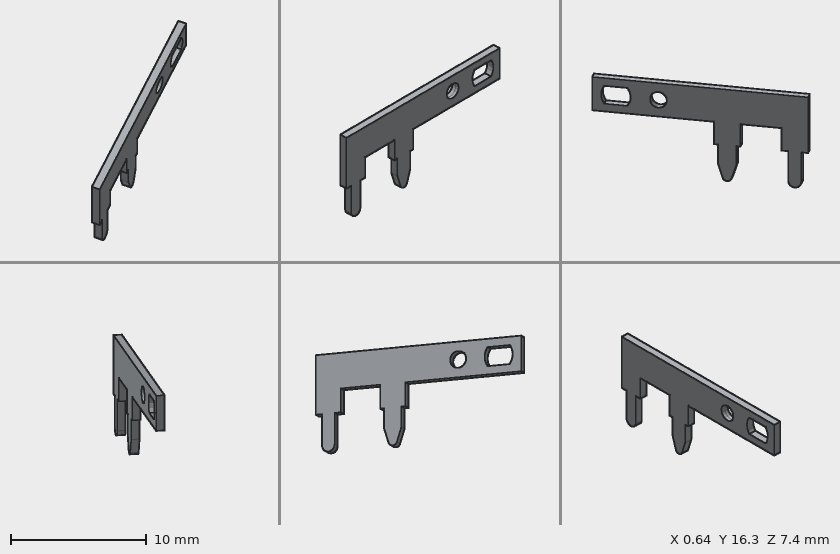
import cadquery as cq
import math

thickness = 0.64
length = 16.3
total_height = 7.4
bar_height = 2.7

shoulder_width = 2.0
shoulder_bottom = -4.52

front_leg_y = shoulder_width / 2
front_pin_width = 1.0

middle_leg_y = 6.11
middle_pin_width = 1.39
taper_start = -6.05
taper_tip_radius = 0.36

opening_z = -bar_height / 2
hole_y = 11.3
hole_diameter = 1.25
slot_y = 14.5
slot_length = 2.22
slot_flat_length = 1.73
slot_height = 1.43


def extrude_profile(profile):
    """Centre the sheet thickness about X = 0."""
    return profile.extrude(thickness / 2, both=True)


def rectangle(y_centre, width, z_bottom, z_top):
    profile = cq.Workplane("YZ").center(y_centre, (z_bottom + z_top) / 2)
    return extrude_profile(profile.rect(width, z_top - z_bottom))


def shoulder(y_centre):
    return rectangle(y_centre, shoulder_width, shoulder_bottom, 0)


def round_tipped_pin(y_centre, width, side_end, tip_radius):
    """Pin with straight sides down to side_end, then tangent tapers into a round tip."""
    half_width = width / 2
    tip_centre_z = -total_height + tip_radius
    drop = side_end - tip_centre_z
    taper_angle = math.atan2(half_width, drop) - math.asin(tip_radius / math.hypot(half_width, drop))
    tangent_y = tip_radius * math.cos(taper_angle)
    tangent_z = tip_centre_z - tip_radius * math.sin(taper_angle)
    profile = (
        cq.Workplane("YZ")
        .center(y_centre, 0)
        .moveTo(-half_width, 0)
        .lineTo(-half_width, side_end)
        .lineTo(-tangent_y, tangent_z)
        .threePointArc((0, -total_height), (tangent_y, tangent_z))
        .lineTo(half_width, side_end)
        .lineTo(half_width, 0)
        .close()
    )
    return extrude_profile(profile)


def straight_pin(y_centre, width):
    """Pin of constant width ending in a half circle."""
    radius = width / 2
    arc_centre_z = -total_height + radius
    end = extrude_profile(cq.Workplane("YZ").center(y_centre, arc_centre_z).circle(radius))
    return rectangle(y_centre, width, arc_centre_z, 0).union(end)


def bowed_slot():
    """Slot with flat top and bottom and shallow arcs at both ends."""
    half_flat = slot_flat_length / 2
    half_length = slot_length / 2
    half_height = slot_height / 2
    profile = (
        cq.Workplane("YZ")
        .center(slot_y, opening_z)
        .moveTo(-half_flat, half_height)
        .lineTo(half_flat, half_height)
        .threePointArc((half_length, 0), (half_flat, -half_height))
        .lineTo(-half_flat, -half_height)
        .threePointArc((-half_length, 0), (-half_flat, half_height))
        .close()
    )
    return extrude_profile(profile)


def round_hole():
    return extrude_profile(cq.Workplane("YZ").center(hole_y, opening_z).circle(hole_diameter / 2))


bar = rectangle(length / 2, length, -bar_height, 0)
front_leg = shoulder(front_leg_y).union(straight_pin(front_leg_y, front_pin_width))
middle_leg = shoulder(middle_leg_y).union(
    round_tipped_pin(middle_leg_y, middle_pin_width, taper_start, taper_tip_radius)
)

result = bar.union(front_leg).union(middle_leg).cut(bowed_slot()).cut(round_hole()).clean()